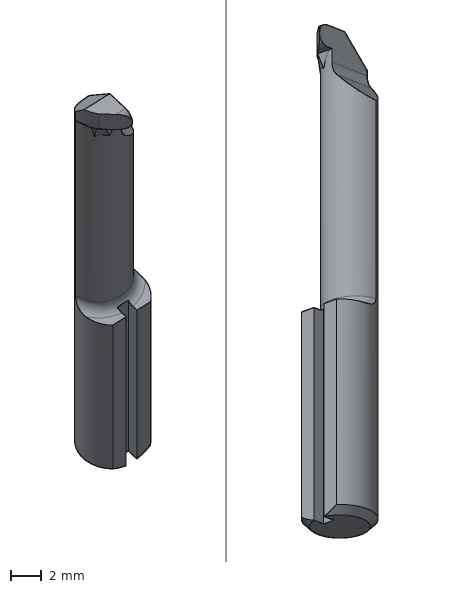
import cadquery as cq
import math

total_height = 35.0
shank_radius = 2.502
flat_x = 1.942
bottom_chamfer = 0.52
shoulder_z = 15.0

neck_edge_x = -1.032
neck_front_x = 0.8
shoulder_fillet = 0.75

groove_width = 0.9
groove_floor_x = 1.05

head_bottom_z = 33.45
head_corner_radius = 0.7
relief_middle = (-0.2, -2.03)
relief_end = (0.52, -1.58)
support_height = 1.05

rake_y = 0.07
rake_corner_z = 31.92
rake_fillet = 1.4
back_slope_x = -0.4

neck_edge_y = math.sqrt(shank_radius**2 - neck_edge_x**2)
neck_rise = neck_front_x - neck_edge_x
neck_radius = (neck_rise**2 + neck_edge_y**2) / (2 * neck_rise)
neck_center_x = neck_front_x - neck_radius
support_top = [(-0.77, -2.15), (0.35, -1.65), (neck_front_x, -1.22)]
support_bottom = [(-0.77, -1.9), (0.15, -1.65), (0.65, -0.85)]
relief_start = (neck_edge_x, -neck_edge_y)
clear = 2 * shank_radius


def block(x_range, y_range, z_range):
    """Axis-aligned box given by its limits."""
    corner = (x_range[0], y_range[0], z_range[0])
    size = [limits[1] - limits[0] for limits in (x_range, y_range, z_range)]
    return cq.Workplane("XY").box(*size, centered=False).translate(corner)


def make_bar():
    bar = cq.Workplane("XY").circle(shank_radius).extrude(total_height)
    bar = bar.faces("<Z").chamfer(bottom_chamfer)
    return bar.cut(block((flat_x, clear), (-clear, clear), (0, total_height)))


def make_neck_cutter():
    """Ring around the neck axis, with a rounded root at the shoulder."""
    fillet_center_z = shoulder_z + shoulder_fillet
    middle_offset = shoulder_fillet * (1 - math.sqrt(0.5))
    return (
        cq.Workplane("XZ")
        .moveTo(neck_radius, total_height)
        .lineTo(neck_radius, fillet_center_z)
        .threePointArc(
            (neck_radius + middle_offset, shoulder_z + middle_offset),
            (neck_radius + shoulder_fillet, shoulder_z),
        )
        .lineTo(neck_radius + clear, shoulder_z)
        .lineTo(neck_radius + clear, total_height)
        .close()
        .revolve(360, (0, 0), (0, 1))
        .translate((neck_center_x, 0, 0))
        .intersect(block((neck_edge_x, clear), (-clear, clear), (0, total_height)))
    )


def relief_outline():
    """Plan of the head, with a flat relief at the cutting edge that turns into an arc."""
    return (
        cq.Workplane("XY", origin=(0, 0, head_bottom_z))
        .moveTo(relief_start[0], rake_y)
        .lineTo(*relief_start)
        .threePointArc(relief_middle, relief_end)
        .lineTo(flat_x, rake_y)
        .close()
    )


def make_head():
    nose = block((relief_start[0], flat_x), (relief_start[1], rake_y), (head_bottom_z, total_height))
    nose = nose.edges("|Y and >X").fillet(head_corner_radius)
    plan = relief_outline().extrude(total_height - head_bottom_z)
    return nose.intersect(plan)


def make_support():
    """Faceted support tapering from the underside of the head into the neck."""

    def section(corners):
        first, *_, last = corners
        return [(first[0], rake_y), *corners, (last[0], rake_y)]

    return (
        cq.Workplane("XY", origin=(0, 0, head_bottom_z))
        .polyline(section(support_top))
        .close()
        .workplane(offset=-support_height)
        .polyline(section(support_bottom))
        .close()
        .loft(ruled=True)
    )


def make_rake_cutter():
    """Vertical rake face blending into a 45 degree slope towards +Y."""
    cutter = (
        cq.Workplane("YZ")
        .moveTo(rake_y, total_height)
        .lineTo(rake_y, rake_corner_z)
        .lineTo(rake_y + clear, rake_corner_z - clear)
        .lineTo(rake_y + clear, total_height)
        .close()
        .extrude(clear, both=True)
    )
    root = cq.selectors.NearestToPointSelector((0, rake_y, rake_corner_z))
    return cutter.edges("|X").edges(root).fillet(rake_fillet)


def make_back_cutter():
    """45 degree slope falling from the top towards -X."""
    return (
        cq.Workplane("XZ")
        .moveTo(back_slope_x, total_height)
        .lineTo(back_slope_x - clear, total_height)
        .lineTo(back_slope_x - clear, total_height - clear)
        .close()
        .extrude(clear, both=True)
    )


groove = block(
    (groove_floor_x, clear),
    (-groove_width / 2, groove_width / 2),
    (0, shoulder_z + shoulder_fillet),
)

result = make_bar().cut(make_neck_cutter()).cut(groove)
result = result.union(make_support()).union(make_head())
result = result.cut(make_rake_cutter()).cut(make_back_cutter())